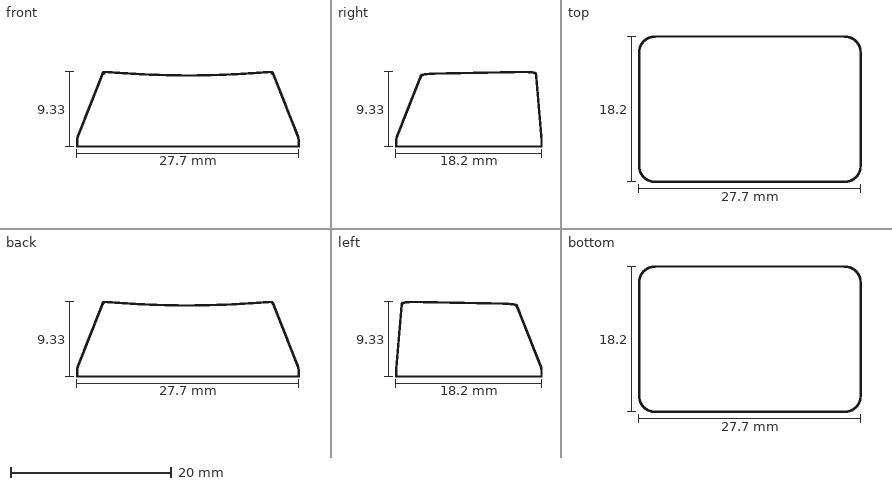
import cadquery as cq
import math

base_length = 27.69
base_width = 18.16
rim_height = 0.75
corner_radius = 2.0

bend_top_height = 1.3
side_lean = 0.395
front_lean = 0.395
back_lean = 0.085
blank_height = 10.5

dish_radius = 116.0
dish_centre_height = 8.74
dish_tilt = 1.1
dish_cutter_length = 60.0
top_fillet = 0.3


def wall_inset(lean, height):
    """Inward travel of a wall: a tangent arc through the bend, then straight."""
    bend_angle = math.atan(lean)
    bend_radius = (bend_top_height - rim_height) / math.sin(bend_angle)
    bend_rise = min(height, bend_top_height) - rim_height
    arc_inset = bend_radius - math.sqrt(bend_radius**2 - bend_rise**2)
    return arc_inset + lean * max(height - bend_top_height, 0)


def outline_at(height):
    """Rounded rectangle bounding the walls at the given height."""
    side_inset = wall_inset(side_lean, height)
    front_inset = wall_inset(front_lean, height)
    back_inset = wall_inset(back_lean, height)
    length = base_length - 2 * side_inset
    width = base_width - front_inset - back_inset
    centre = cq.Vector(0, (front_inset - back_inset) / 2, height)
    outline = cq.Sketch().rect(length, width).vertices().fillet(corner_radius)
    return outline.moved(cq.Location(centre))


def make_rim():
    outline = cq.Sketch().rect(base_length, base_width).vertices().fillet(corner_radius)
    return cq.Workplane("XY").placeSketch(outline).extrude(rim_height)


def make_bend():
    middle_height = (rim_height + bend_top_height) / 2
    sections = [outline_at(height) for height in (rim_height, middle_height, bend_top_height)]
    return cq.Workplane("XY").placeSketch(*sections).loft()


def make_walls():
    sections = [outline_at(height) for height in (bend_top_height, blank_height)]
    return cq.Workplane("XY").placeSketch(*sections).loft(ruled=True)


def make_dish_cutter():
    return (
        cq.Workplane("XZ")
        .center(0, dish_centre_height + dish_radius)
        .circle(dish_radius)
        .extrude(dish_cutter_length / 2, both=True)
        .rotate((0, 0, dish_centre_height), (1, 0, dish_centre_height), dish_tilt)
    )


keycap = make_rim().union(make_bend()).union(make_walls())
keycap = keycap.cut(make_dish_cutter())
result = keycap.faces(">Z").edges().fillet(top_fillet)